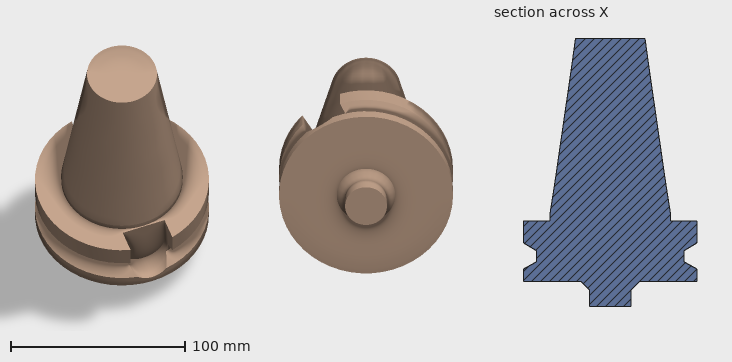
import cadquery as cq

total_height = 154.3
gauge_height = 52.6
gauge_diameter = 69.9
taper_ratio = 7 / 24
taper_tip_diameter = gauge_diameter - taper_ratio * (total_height - gauge_height)

flange_diameter = 100.0
flange_bottom = 14.5
flange_top = 49.5
groove_diameter = 85.0
lower_rim_top = 21.9
groove_floor_bottom = 26.0
groove_floor_top = 32.2
upper_rim_bottom = 36.7

spigot_diameter = 24.0
shoulder_bottom = 9.5
shoulder_diameter = 33.6

slot_width = 25.6
slot_bottom = 18.5
slot_floor_distance = 35.5


def make_body():
    """Revolve the half-profile, given from the spigot end up to the taper tip."""
    steps = [
        (spigot_diameter, 0),
        (spigot_diameter, shoulder_bottom),
        (shoulder_diameter, flange_bottom),
        (flange_diameter, flange_bottom),
        (flange_diameter, lower_rim_top),
        (groove_diameter, groove_floor_bottom),
        (groove_diameter, groove_floor_top),
        (flange_diameter, upper_rim_bottom),
        (flange_diameter, flange_top),
        (gauge_diameter, flange_top),
        (gauge_diameter, gauge_height),
        (taper_tip_diameter, total_height),
    ]
    profile = [(diameter / 2, height) for diameter, height in steps]
    outline = [(0, 0)] + profile + [(0, total_height)]
    return cq.Workplane("XZ").polyline(outline).close().revolve(360, (0, 0, 0), (0, 1, 0))


def make_slot_cutter(side):
    """Return the U-shaped cutter for the slot on the +X (1) or -X (-1) side."""
    half_width = slot_width / 2
    arc_height = slot_bottom + half_width
    depth = flange_diameter / 2 - slot_floor_distance
    return (
        cq.Workplane("YZ", origin=(side * slot_floor_distance, 0, 0))
        .moveTo(-half_width, flange_top)
        .lineTo(-half_width, arc_height)
        .threePointArc((0, slot_bottom), (half_width, arc_height))
        .lineTo(half_width, flange_top)
        .close()
        .extrude(side * depth)
    )


result = make_body()
for side in (-1, 1):
    result = result.cut(make_slot_cutter(side))